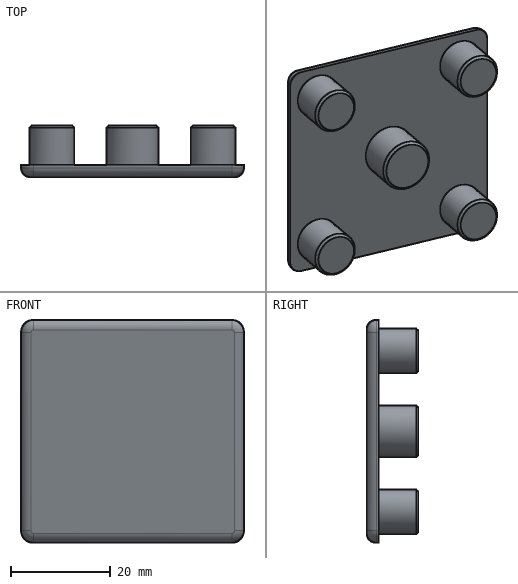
import cadquery as cq

plate_side = 45.0
plate_thickness = 2.5
plate_corner_radius = 2.5
face_edge_radius = 2.0

total_depth = 10.5
peg_length = total_depth - plate_thickness
centre_peg_diameter = 10.55
corner_peg_diameter = 9.1
corner_peg_offset = 16.25
peg_tip_chamfer = 0.5

plate_back_y = plate_thickness


def make_plate():
    """Square plate with rounded corners and a rounded front rim."""
    plate = cq.Workplane("XY").box(
        plate_side, plate_thickness, plate_side, centered=(True, False, True)
    )
    plate = plate.edges("|Y").fillet(plate_corner_radius)
    return plate.faces("<Y").edges().fillet(face_edge_radius)


def make_peg(diameter, x, z):
    """Peg standing on the back of the plate, with a chamfered tip."""
    peg = (
        cq.Workplane("XZ", origin=(x, plate_back_y, z))
        .circle(diameter / 2)
        .extrude(-peg_length)
    )
    return peg.faces(">Y").edges().chamfer(peg_tip_chamfer)


result = make_plate().union(make_peg(centre_peg_diameter, 0, 0))
for x_side in (-1, 1):
    for z_side in (-1, 1):
        corner_peg = make_peg(
            corner_peg_diameter, x_side * corner_peg_offset, z_side * corner_peg_offset
        )
        result = result.union(corner_peg)